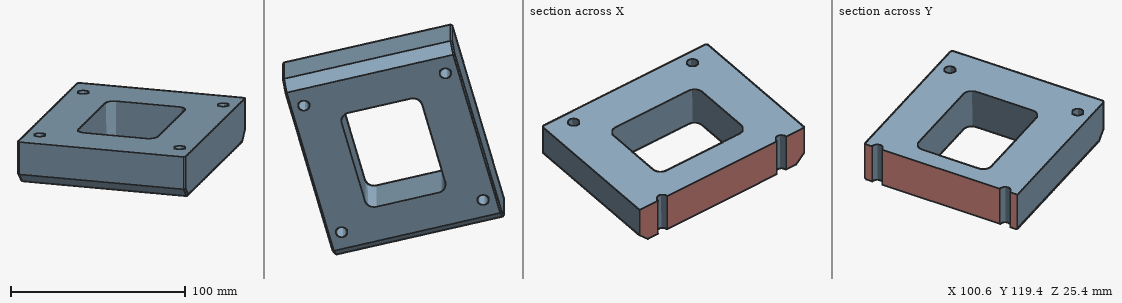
import cadquery as cq

width = 100.6
length = 119.4
height = 25.4
bottom_chamfer = 6.0
edge_chamfer = 1.0

window_width = 47.8
window_length = 63.7
window_radius = 5.5

hole_diameter = 6.6
hole_spacing_x = 84.0
hole_spacing_y = 86.0


def make_plate():
    """Block with chamfered lower edges; end faces bevelled except along the top."""
    plate = cq.Workplane("XY").box(width, length, height, centered=(True, True, False))
    plate = plate.faces("<Z").edges("|X").chamfer(bottom_chamfer)
    end_edges = plate.faces("<X or >X").edges("not >Z")
    return end_edges.chamfer(edge_chamfer)


def cut_window(plate):
    window = (
        cq.Workplane("XY")
        .rect(window_width, window_length)
        .extrude(height)
        .edges("|Z")
        .fillet(window_radius)
    )
    return plate.cut(window)


def cut_mounting_holes(plate):
    holes = (
        cq.Workplane("XY")
        .rect(hole_spacing_x, hole_spacing_y, forConstruction=True)
        .vertices()
        .circle(hole_diameter / 2)
        .extrude(height)
    )
    return plate.cut(holes)


result = cut_mounting_holes(cut_window(make_plate()))